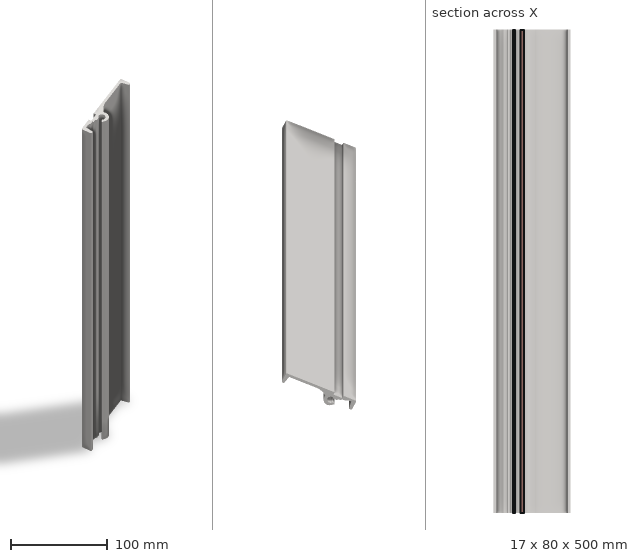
import cadquery as cq
import math

LENGTH = 500.0
HEIGHT = 80.0
DEPTH = 16.99

WALL = 3.0
FLANGE_REACH = 12.0
FLANGE_ROOT = 4.5
FLANGE_TIP = 2.9
CORNER_RADIUS = 1.0

GROOVE_BOTTOM = 15.0
GROOVE_TOP = 25.0
GROOVE_DEPTH = 3.0

HOOK_RADIUS = 6.2
HOOK_TOP = 31.8
HOOK_X = DEPTH - HOOK_RADIUS
HOOK_Y = HOOK_TOP - HOOK_RADIUS
HOOK_END_ANGLE = -54.0

CHANNEL_RADIUS = 3.7
CHANNEL_X = 9.9
CHANNEL_Y = 24.8
CHANNEL_START_ANGLE = -35.0
CHANNEL_END_ANGLE = 195.0

TIP_END = (13.6, 18.8)
TIP_FACE_X = 12.1
TIP_FACE_BOTTOM = 20.6
TIP_FACE_TOP = 22.4

SHOULDER_TOP = 43.0
SHOULDER_MIDDLE = (4.5, 37.2)
SHOULDER_END_X = 8.0

LIP_X = 7.5
LIP_TOP = 22.7
LIP_BOTTOM = 19.0
NECK_X = 6.0
NECK_TOP = 17.5
RIB_X = 4.5
RIB_TOP = 14.5
RIB_BOTTOM = 10.8
RIB_FOOT = 8.0
RIB_FOOT_MIDDLE = (3.5, 9.6)


def circle_point(centre, radius, angle):
    """Point on a circle, angle in degrees from +X."""
    turn = math.radians(angle)
    return (centre[0] + radius * math.cos(turn), centre[1] + radius * math.sin(turn))


def hook_point(angle):
    """Point on the outside of the hook."""
    return circle_point((HOOK_X, HOOK_Y), HOOK_RADIUS, angle)


def channel_point(angle):
    """Point on the round channel inside the hook."""
    return circle_point((CHANNEL_X, CHANNEL_Y), CHANNEL_RADIUS, angle)


def profile():
    """Closed outline of the section, clockwise from the lower back corner."""
    outline = cq.Workplane("XY").moveTo(0, 0)
    outline = (
        outline.lineTo(0, GROOVE_BOTTOM)
        .lineTo(GROOVE_DEPTH, GROOVE_BOTTOM)
        .lineTo(GROOVE_DEPTH, GROOVE_TOP)
        .lineTo(0, GROOVE_TOP)
        .lineTo(0, HEIGHT)
    )
    outline = (
        outline.lineTo(FLANGE_REACH, HEIGHT)
        .lineTo(FLANGE_REACH, HEIGHT - FLANGE_TIP)
        .lineTo(WALL, HEIGHT - FLANGE_ROOT)
        .lineTo(WALL, SHOULDER_TOP)
    )
    outline = (
        outline.threePointArc(SHOULDER_MIDDLE, (SHOULDER_END_X, HOOK_TOP))
        .lineTo(HOOK_X, HOOK_TOP)
        .threePointArc(hook_point(0), hook_point(HOOK_END_ANGLE))
        .lineTo(*TIP_END)
        .lineTo(TIP_FACE_X, TIP_FACE_BOTTOM)
        .lineTo(TIP_FACE_X, TIP_FACE_TOP)
        .lineTo(*channel_point(CHANNEL_START_ANGLE))
        .threePointArc(channel_point(90), channel_point(CHANNEL_END_ANGLE))
    )
    outline = (
        outline.lineTo(LIP_X, LIP_TOP)
        .lineTo(LIP_X, LIP_BOTTOM)
        .lineTo(NECK_X, NECK_TOP)
        .lineTo(NECK_X, GROOVE_BOTTOM)
        .lineTo(RIB_X, RIB_TOP)
        .lineTo(RIB_X, RIB_BOTTOM)
        .threePointArc(RIB_FOOT_MIDDLE, (WALL, RIB_FOOT))
    )
    return (
        outline.lineTo(WALL, FLANGE_ROOT)
        .lineTo(FLANGE_REACH, FLANGE_TIP)
        .lineTo(FLANGE_REACH, 0)
        .close()
    )


def round_corner(body, x, y):
    """Round the lengthwise edge that passes through (x, y)."""
    nearest = cq.selectors.NearestToPointSelector((x, y, LENGTH / 2))
    return body.edges("|Z").edges(nearest).fillet(CORNER_RADIUS)


result = profile().extrude(LENGTH)
for corner_y in (0, HEIGHT):
    for corner_x in (0, FLANGE_REACH):
        result = round_corner(result, corner_x, corner_y)